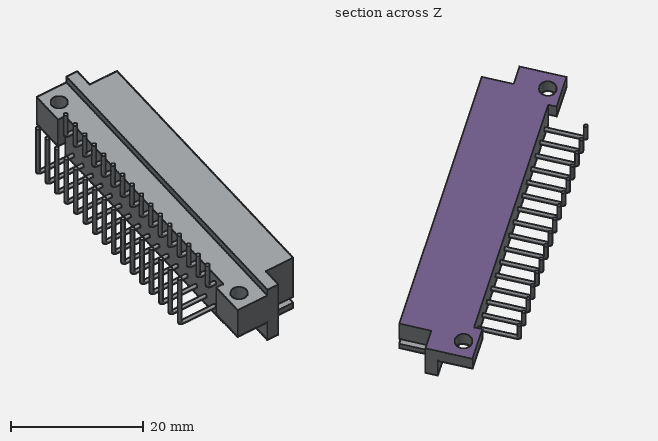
import cadquery as cq
import math

flange_length = 54.0
body_height = 11.0
shroud_depth = 5.0
flange_back = 7.0

shroud_length = 47.3
groove_depth = 1.7
groove_reach = 4.55
groove_bottom = 1.17
groove_height = 1.27

ear_width = 5.75
ear_bottom = 3.87
ear_top = 9.75
ear_reach = 12.45
hole_diameter = 2.6
hole_inset = 2.84
hole_reach = 10.25

block_bottom = 1.3
block_reach = 11.15
slope_start_inset = 3.35
slope_reach = 8.4

pin_count = 16
pin_pitch = 2.54
row_pitch = 5.08
pin_diameter = 0.64
pin_radius = pin_diameter / 2
bend_radius = 0.4
pin_top = 12.83
pin_overall_reach = 17.93
pin_embed = 1.0
lower_pin_height = 3.1
lower_pin_reach = pin_overall_reach - pin_radius
upper_pin_height = lower_pin_height + row_pitch
upper_pin_reach = lower_pin_reach - row_pitch

half_flange = flange_length / 2
half_shroud = shroud_length / 2


def slab(x_min, x_max, y_near, y_far, z_min, z_max):
    """Box whose Y range is given as distances in front of the mating face (towards -Y)."""
    size = (x_max - x_min, y_far - y_near, z_max - z_min)
    return cq.Workplane("XY").box(*size, centered=False).translate((x_min, -y_far, z_min))


def make_shell():
    """Shroud and flange, with a keying groove open to the mating face on each end of the shroud."""
    shroud = slab(-half_shroud, half_shroud, 0, shroud_depth, 0, body_height)
    flange = slab(-half_flange, half_flange, shroud_depth, flange_back, 0, body_height)
    groove_top = groove_bottom + groove_height
    floor_x = half_shroud - groove_depth
    groove = slab(floor_x, half_shroud, 0, groove_reach, groove_bottom, groove_top)
    return shroud.cut(groove).cut(groove.mirror("YZ")).union(flange)


def make_ears():
    """Pair of mounting ears, each with a vertical through hole."""
    ear = slab(half_flange - ear_width, half_flange, flange_back, ear_reach, ear_bottom, ear_top)
    hole = (
        cq.Workplane("XY")
        .center(half_flange - hole_inset, -hole_reach)
        .circle(hole_diameter / 2)
        .extrude(body_height)
    )
    ear = ear.cut(hole)
    return ear.union(ear.mirror("YZ"))


def make_terminal_block():
    """Block that carries the pins; its lower part widens towards the flange."""
    half_front = half_flange - ear_width
    half_root = half_flange - slope_start_inset
    upper = slab(-half_front, half_front, flange_back, block_reach, ear_bottom, ear_top)
    lower_outline = [
        (-half_root, -flange_back),
        (-half_front, -slope_reach),
        (-half_front, -block_reach),
        (half_front, -block_reach),
        (half_front, -slope_reach),
        (half_root, -flange_back),
    ]
    lower = (
        cq.Workplane("XY", origin=(0, 0, block_bottom))
        .polyline(lower_outline)
        .close()
        .extrude(ear_bottom - block_bottom)
    )
    return upper.union(lower)


def make_pin(height, reach):
    """Pin at X = 0 that leaves the block at the given height and turns up at the given reach."""
    root_y = -(block_reach - pin_embed)
    bend_shift = bend_radius * (1 - math.cos(math.radians(45)))
    path = (
        cq.Workplane("YZ")
        .moveTo(root_y, height)
        .lineTo(-reach + bend_radius, height)
        .threePointArc((-reach + bend_shift, height + bend_shift), (-reach, height + bend_radius))
        .lineTo(-reach, pin_top)
    )
    return cq.Workplane("XZ", origin=(0, root_y, height)).circle(pin_radius).sweep(path)


def add_pins(body):
    """Fuse both rows of pins onto the body."""
    pins = []
    for height, reach in ((lower_pin_height, lower_pin_reach), (upper_pin_height, upper_pin_reach)):
        pin = make_pin(height, reach).val()
        for index in range(pin_count):
            x = (index - (pin_count - 1) / 2) * pin_pitch
            pins.append(pin.translate(cq.Vector(x, 0, 0)))
    return cq.Workplane(obj=body.val().fuse(*pins))


body = make_shell().union(make_ears()).union(make_terminal_block())
result = add_pins(body)